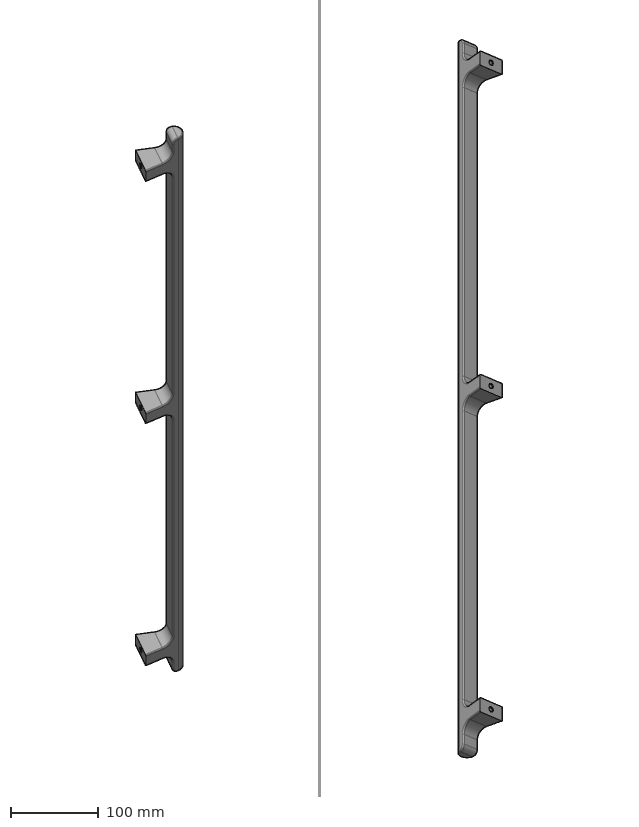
import cadquery as cq

bar_length = 915.5
depth = 50.78
foot_width = 35.0

bar_thickness = 16.3
crown_depth = 8.5
shoulder_width = 20.4

post_pitch = 416.0
post_height = 18.5
post_fillet = 13.0
root_margin = 1.0

bar_end_fillet = 7.0
edge_fillet = 1.5

hole_diameter = 4.92
countersink_diameter = 6.5
countersink_depth = (countersink_diameter - hole_diameter) / 2
hole_depth = 15.0

bar_front = depth - bar_thickness
shoulder_y = depth - crown_depth
half_length = bar_length / 2
post_positions = (-post_pitch, 0, post_pitch)


def plan_prism():
    """Plan outline shared by the bar and the posts, extruded over the full length."""
    return (
        cq.Workplane("XY", origin=(0, 0, -half_length))
        .moveTo(-shoulder_width / 2, shoulder_y)
        .lineTo(-foot_width / 2, 0)
        .lineTo(foot_width / 2, 0)
        .lineTo(shoulder_width / 2, shoulder_y)
        .threePointArc((0, depth), (-shoulder_width / 2, shoulder_y))
        .close()
        .extrude(bar_length)
    )


def side_prism():
    """Side outline: the straight bar with its posts and the fillets on both."""
    bar = cq.Workplane("XY").box(foot_width, bar_thickness, bar_length)
    bar = bar.edges("|X and <Y").fillet(bar_end_fillet)
    outline = bar.translate((0, bar_front + bar_thickness / 2, 0))
    for z in post_positions:
        post = cq.Workplane("XY").box(foot_width, depth, post_height).translate((0, depth / 2, z))
        outline = outline.union(post)
    post_roots = cq.selectors.BoxSelector(
        (-foot_width, bar_front - root_margin, -post_pitch - post_height),
        (foot_width, bar_front + root_margin, post_pitch + post_height),
    )
    return outline.edges("|X").edges(post_roots).fillet(post_fillet)


def round_edges(body):
    """Round the borders of the flanks and the crown, leaving foot faces and shoulder lines sharp."""
    borders = body.edges("(not |X) and (not <Y)")
    shoulder_lines = borders.edges("|Z").edges(">Y")
    rounded = [edge for edge in borders.vals() if edge not in shoulder_lines.vals()]
    return borders.newObject(rounded).fillet(edge_fillet)


def foot_hole(z):
    """Countersunk hole entering a foot face along +Y."""
    hole = cq.Workplane("XZ", origin=(0, 0, z)).circle(hole_diameter / 2).extrude(-hole_depth)
    sink = cq.Solid.makeCone(
        countersink_diameter / 2,
        hole_diameter / 2,
        countersink_depth,
        pnt=cq.Vector(0, 0, z),
        dir=cq.Vector(0, 1, 0),
    )
    return hole.union(cq.Workplane(sink))


result = round_edges(plan_prism().intersect(side_prism()))
for z in post_positions:
    result = result.cut(foot_hole(z))